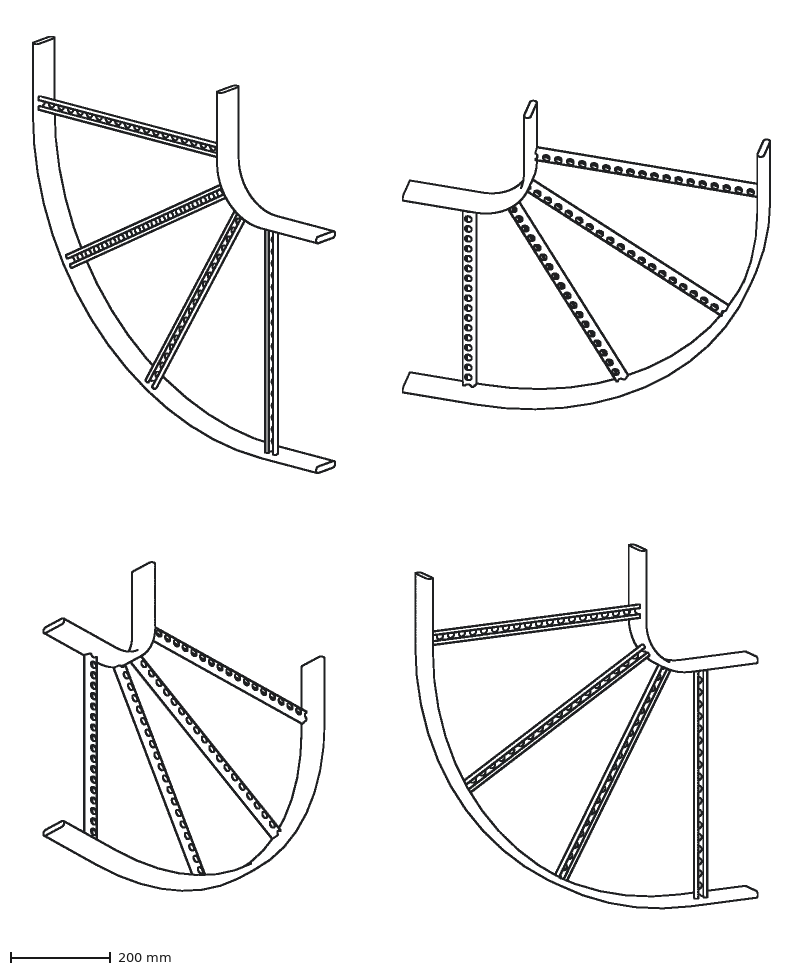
import cadquery as cq
import math

overall_size = 750.0
ladder_width = overall_size * 2 / 3
straight_length = 150.0
outer_bend_radius = overall_size - straight_length
inner_bend_radius = outer_bend_radius - ladder_width

rail_height = 60.0
rail_width = 15.0
rail_wall = 1.2

rung_inner_radius = inner_bend_radius + rail_width
rung_outer_radius = outer_bend_radius - rail_width
rung_length = rung_outer_radius - rung_inner_radius
rung_middle_radius = (rung_inner_radius + rung_outer_radius) / 2
end_rung_offset = 25.0
middle_rung_angles = (30, 60)

rung_width = 29.0
rung_back_y = -10.5
rung_depth = 15.0
sheet_thickness = 1.5
fold_radius = 3.0
wall_lean = math.radians(19)
lip_width = 9.0
lip_return = 4.0

hole_diameter = 14.0
hole_pitch = overall_size / 30
hole_count = 20


def rail_section(plane, center, turn, inset):
    """Flat section with rounded ends, shrunk by inset all round."""
    height = rail_height - 2 * inset
    width = rail_width - 2 * inset
    return cq.Workplane(plane).center(*center).slot2D(height, width, turn)


def rail_bar(middle_radius, inset):
    """Solid bar along a whole rail: vertical run, quarter bend, horizontal run."""
    axis_start = (middle_radius, 0, 0)
    axis_end = (middle_radius, -1, 0)
    vertical = rail_section("XY", (-middle_radius, 0), 90, inset).extrude(straight_length)
    bend = rail_section("XY", (-middle_radius, 0), 90, inset).revolve(90, axis_start, axis_end)
    horizontal = rail_section("YZ", (0, -middle_radius), 0, inset).extrude(straight_length)
    return vertical.union(bend).union(horizontal)


def make_rail(middle_radius):
    """Tube with open ends."""
    return rail_bar(middle_radius, 0).cut(rail_bar(middle_radius, rail_wall))


def channel_corners():
    """Sharp corners (y, z) of the middle line of the channel sheet, from lip to lip."""
    half_sheet = sheet_thickness / 2
    middle_fold_radius = fold_radius - half_sheet
    front_y = rung_back_y - rung_depth + half_sheet
    floor_y = rung_back_y - half_sheet
    overshoot = middle_fold_radius * (math.tan(math.pi / 4 + wall_lean / 2) - 1)
    lip_outer_z = rung_width / 2 - half_sheet + overshoot
    lip_inner_z = rung_width / 2 - lip_width + half_sheet - overshoot
    half = [
        (front_y + lip_return, lip_inner_z + lip_return * math.tan(wall_lean)),
        (front_y, lip_inner_z),
        (front_y, lip_outer_z),
        (floor_y, lip_outer_z - (floor_y - front_y) * math.tan(wall_lean)),
    ]
    return half + [(y, -z) for y, z in reversed(half)]


def folded_path(corners, radius):
    """Stations (y, z, heading): both path ends and the start, middle and end of every fold."""
    headings = [math.atan2(z1 - z0, y1 - y0) for (y0, z0), (y1, z1) in zip(corners, corners[1:])]
    stations = [(*corners[0], headings[0])]
    for (y, z), before, after in zip(corners[1:], headings, headings[1:]):
        turn = math.remainder(after - before, math.tau)
        halfway = before + turn / 2
        tangent = radius * math.tan(abs(turn) / 2)
        inward = math.copysign(radius / math.cos(turn / 2) - radius, turn)
        stations += [
            (y - tangent * math.cos(before), z - tangent * math.sin(before), before),
            (y - inward * math.sin(halfway), z + inward * math.cos(halfway), halfway),
            (y + tangent * math.cos(after), z + tangent * math.sin(after), after),
        ]
    return stations + [(*corners[-1], headings[-1])]


def beside_path(stations, distance):
    """Points at the given distance to the left of the stations."""
    return [(y - distance * math.sin(h), z + distance * math.cos(h)) for y, z, h in stations]


def trace_side(outline, side):
    """Continue an outline along one side of the sheet: a line and an arc for each fold."""
    for start, middle, end in zip(side[1:-1:3], side[2:-1:3], side[3:-1:3]):
        outline = outline.lineTo(*start).threePointArc(middle, end)
    return outline.lineTo(*side[-1])


def make_straight_rung():
    """Perforated channel along X, centered between the rails, with its floor on the +Y side."""
    half_sheet = sheet_thickness / 2
    stations = folded_path(channel_corners(), fold_radius - half_sheet)
    left_side = beside_path(stations, half_sheet)
    right_side = beside_path(stations, -half_sheet)[::-1]
    outline = trace_side(cq.Workplane("YZ").moveTo(*left_side[0]), left_side)
    outline = trace_side(outline.lineTo(*right_side[0]), right_side)
    channel = outline.close().extrude(rung_length / 2, both=True)
    holes = (
        cq.Workplane("XZ", origin=(0, rung_back_y, 0))
        .rarray(hole_pitch, 7.5, hole_count, 1)
        .circle(hole_diameter / 2)
        .extrude(sheet_thickness)
    )
    return channel.cut(holes).translate((-rung_middle_radius, 0, 0))


def turned(body, angle):
    """Body turned about the bend axis, from the -X direction toward -Z."""
    return body.rotate((0, 0, 0), (0, 1, 0), -angle)


def make_middle_rung(angle):
    """Radial rung whose ends follow the curved rail faces."""
    gap_between_rails = (
        cq.Workplane("XZ")
        .circle(rung_outer_radius)
        .circle(rung_inner_radius)
        .extrude(rail_height, both=True)
    )
    return turned(make_straight_rung(), angle).intersect(gap_between_rails)


rail_radii = (outer_bend_radius - rail_width / 2, inner_bend_radius + rail_width / 2)
rails = [make_rail(radius) for radius in rail_radii]

middle_rungs = [make_middle_rung(angle) for angle in middle_rung_angles]
end_rungs = [
    make_straight_rung().translate((0, 0, end_rung_offset)),
    turned(make_straight_rung(), 90).translate((end_rung_offset, 0, 0)),
]

result = cq.Compound.makeCompound([body.val() for body in rails + end_rungs + middle_rungs])